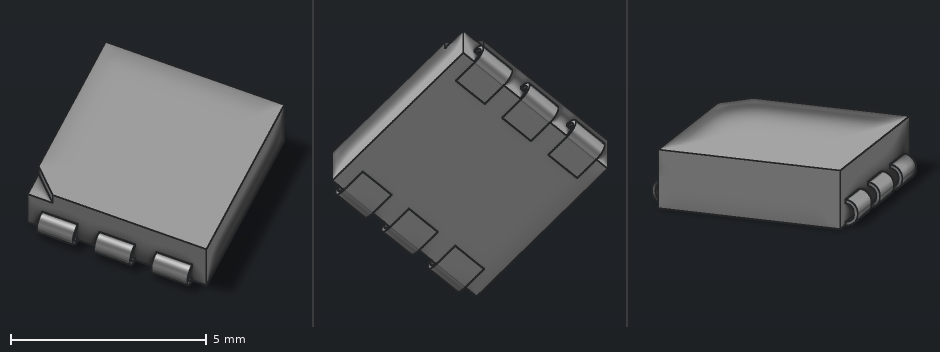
import cadquery as cq
import math

overall_length_y = 5.65
overall_height = 1.6
body_side = 5.0
standoff = 0.02
notch_leg = 0.7
notch_depth = 0.345

lead_width = 1.0
lead_pitch = 1.6
lead_thickness = 0.1
lead_height = 0.7
outer_bend_radius = 0.34
foot_length = 0.725
leads_per_side = 3

half_side = body_side / 2
half_length = overall_length_y / 2
bend_center_y = -half_length + outer_bend_radius
inner_bend_radius = outer_bend_radius - lead_thickness
lower_bend_z = outer_bend_radius
upper_bend_z = lead_height - outer_bend_radius
row_angles = (0, 180)
lead_x_positions = [
    (index - (leads_per_side - 1) / 2) * lead_pitch for index in range(leads_per_side)
]


def make_lead(x_center, row_angle):
    """C-shaped lead with a flat foot; a row angle of 180 puts it on the +Y side."""
    outer_y = -half_length
    inner_y = bend_center_y - inner_bend_radius
    foot_end_y = -half_side + foot_length
    diagonal = math.sqrt(0.5)

    def bend_midpoint(radius, center_z, z_direction):
        return (bend_center_y - radius * diagonal, center_z + z_direction * radius * diagonal)

    profile = (
        cq.Workplane("YZ")
        .moveTo(foot_end_y, 0)
        .lineTo(bend_center_y, 0)
        .threePointArc(bend_midpoint(outer_bend_radius, lower_bend_z, -1), (outer_y, lower_bend_z))
        .lineTo(outer_y, upper_bend_z)
        .threePointArc(bend_midpoint(outer_bend_radius, upper_bend_z, 1), (bend_center_y, lead_height))
        .lineTo(bend_center_y, lead_height - lead_thickness)
        .threePointArc(bend_midpoint(inner_bend_radius, upper_bend_z, 1), (inner_y, upper_bend_z))
        .lineTo(inner_y, lower_bend_z)
        .threePointArc(bend_midpoint(inner_bend_radius, lower_bend_z, -1), (bend_center_y, lead_thickness))
        .lineTo(foot_end_y, lead_thickness)
        .close()
    )
    lead = profile.extrude(lead_width / 2, both=True)
    return lead.rotate((0, 0, 0), (0, 0, 1), row_angle).translate((x_center, 0, 0))


def make_corner_notch():
    """Triangular prism that marks the -X, -Y corner of the top face."""
    return (
        cq.Workplane("XY")
        .workplane(offset=overall_height - notch_depth)
        .moveTo(-half_side, -half_side)
        .lineTo(-half_side + notch_leg, -half_side)
        .lineTo(-half_side, -half_side + notch_leg)
        .close()
        .extrude(notch_depth)
    )


def make_body(leads):
    """Square block with the corner notch and matching recesses for the foot and upper end of each lead."""
    block = (
        cq.Workplane("XY")
        .workplane(offset=standoff)
        .rect(body_side, body_side)
        .extrude(overall_height - standoff)
    )
    body = block.cut(make_corner_notch())
    for lead in leads:
        body = body.cut(lead)
    return body


leads = [make_lead(x, row_angle) for row_angle in row_angles for x in lead_x_positions]
body = make_body(leads)

result = cq.Compound.makeCompound([body.solids().val(), *[lead.solids().val() for lead in leads]])